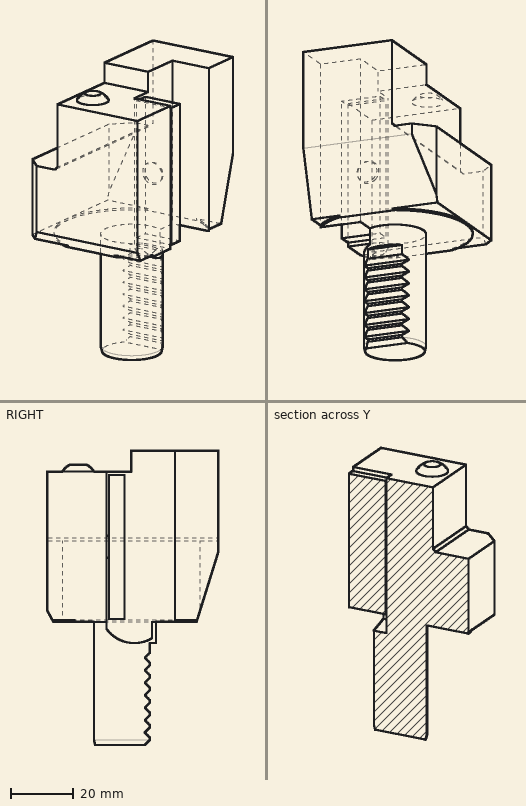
import cadquery as cq
import math


x_back, x_shoulder, x_face = -25.0, -12.0, 19.0
y_front, y_rear = -25.0, 30.0
z_ledge, z_step, z_top = 26.0, 48.2, 55.0
y_step = 2.0
corner_fillet_leg = 1.0

front_corner_cut = 5.0
rear_corner_cut = 6.0
front_bevel_depth, front_bevel_height = 2.0, 3.7
rear_taper_depth, rear_taper_height = 7.0, 22.5

seat_radius = 25.0
seat_height = 0.6

x_slot = 5.0
y_slot_front, y_slot_rear = -6.0, 16.0
scoop_radius = 11.0
scoop_y, scoop_z = 3.0, 4.2

plate_side_gap = 0.3
plate_thickness = 5.0
plate_screw_gap = 0.9
plate_end_gap = 1.0
tip_wall_diameter, tip_plate_diameter = 7.4, 6.9
tip_sink = 0.5

nozzle_x, nozzle_y = -5.0, -15.0
nozzle_sphere_radius = 6.0
nozzle_sphere_drop = 3.1
nozzle_height = 2.3

shank_radius = 10.0
shank_length = 39.5
tip_chamfer_width, tip_chamfer_height = 0.4, 1.6
flat_y, flat_start = 8.0, 6.8
tooth_pitch, tooth_depth, tooth_count = 4.0, 1.6, 8


def box(x0, x1, y0, y1, z0, z1):
    """Axis-aligned box between two opposite corners."""
    return cq.Workplane("XY").box(x1 - x0, y1 - y0, z1 - z0, centered=False).translate((x0, y0, z0))


def along_x(points):
    """Prism with a (Y, Z) outline running the full depth of the block."""
    outline = cq.Workplane("YZ").workplane(offset=x_back).polyline(points).close()
    return outline.extrude(x_face - x_back)


def make_block():
    """Stepped block with its corner cuts, bevel and taper."""
    side_profile = [
        (x_back, seat_height),
        (x_face, seat_height),
        (x_face, z_top),
        (x_shoulder, z_top),
        (x_shoulder, z_ledge + corner_fillet_leg),
        (x_shoulder - corner_fillet_leg, z_ledge),
        (x_back, z_ledge),
    ]
    body = cq.Workplane("XZ", origin=(0, y_rear, 0)).polyline(side_profile).close()
    body = body.extrude(y_rear - y_front)
    seat = cq.Workplane("XY").circle(seat_radius).extrude(seat_height)
    seat = seat.intersect(box(x_back, x_face, y_front, y_rear, 0, seat_height))
    body = body.union(seat)

    plan_outline = [
        (x_back, y_front + front_corner_cut),
        (x_back + front_corner_cut, y_front),
        (x_face, y_front),
        (x_face, y_rear),
        (x_back + rear_corner_cut, y_rear),
        (x_back, y_rear - rear_corner_cut),
    ]
    body = body.intersect(cq.Workplane("XY").polyline(plan_outline).close().extrude(z_top))

    end_outline = [
        (y_front + front_bevel_depth, 0),
        (y_rear - rear_taper_depth, 0),
        (y_rear, rear_taper_height),
        (y_rear, z_top),
        (y_step, z_top),
        (y_step, z_step),
        (y_front, z_step),
        (y_front, front_bevel_height),
    ]
    return body.intersect(along_x(end_outline))


def make_shank():
    """Round shank with a tapered end and a toothed flat facing +Y."""
    half_profile = [
        (0, 0),
        (shank_radius, 0),
        (shank_radius, tip_chamfer_height - shank_length),
        (shank_radius - tip_chamfer_width, -shank_length),
        (0, -shank_length),
    ]
    shank = cq.Workplane("XZ").polyline(half_profile).close().revolve(360, (0, 0), (0, 1))
    shank = shank.cut(box(-shank_radius, shank_radius, flat_y, shank_radius, -shank_length, -flat_start))
    for i in range(tooth_count):
        root_z = -shank_length + i * tooth_pitch
        groove = [
            (flat_y, root_z - tooth_depth),
            (flat_y - tooth_depth, root_z),
            (flat_y, root_z + tooth_depth),
        ]
        shank = shank.cut(along_x(groove))
    return shank


def make_slot():
    """Slot through the block with a round scoop running into the shank."""
    slot = box(x_slot, x_face, y_slot_front, y_slot_rear, 0, z_top)
    scoop = cq.Workplane("YZ", origin=(x_slot, scoop_y, scoop_z)).circle(scoop_radius).extrude(x_face - x_slot)
    floor_limit = box(x_slot, x_face, y_slot_front, y_slot_rear, -shank_length, 0)
    return slot.union(scoop.intersect(floor_limit))


def make_clamp():
    """Clamping plate joined to the front slot wall by a conical screw tip."""
    plate_y = y_slot_front + plate_screw_gap
    plate = box(
        x_slot + plate_side_gap,
        x_face - plate_side_gap,
        plate_y,
        plate_y + plate_thickness,
        plate_end_gap,
        z_step - plate_end_gap,
    )
    wall_radius = tip_wall_diameter / 2
    plate_radius = tip_plate_diameter / 2
    half_profile = [
        (0, y_slot_front - tip_sink),
        (wall_radius, y_slot_front - tip_sink),
        (wall_radius, y_slot_front),
        (plate_radius, plate_y),
        (plate_radius, plate_y + tip_sink),
        (0, plate_y + tip_sink),
    ]
    tip = cq.Workplane("XY").polyline(half_profile).close().revolve(360, (0, 0), (0, 1))
    tip = tip.translate(((x_slot + x_face) / 2, 0, z_step / 2))
    return plate.union(tip)


def make_nozzle():
    """Sphere cut flat on top, standing on the step."""
    rim_radius = math.sqrt(nozzle_sphere_radius**2 - nozzle_sphere_drop**2)
    sphere = cq.Workplane("XY").sphere(nozzle_sphere_radius).translate((0, 0, -nozzle_sphere_drop))
    limit = cq.Workplane("XY").circle(rim_radius).extrude(nozzle_height)
    return sphere.intersect(limit).translate((nozzle_x, nozzle_y, z_step))


holder = make_block().union(make_shank()).cut(make_slot())
result = holder.union(make_clamp()).union(make_nozzle())